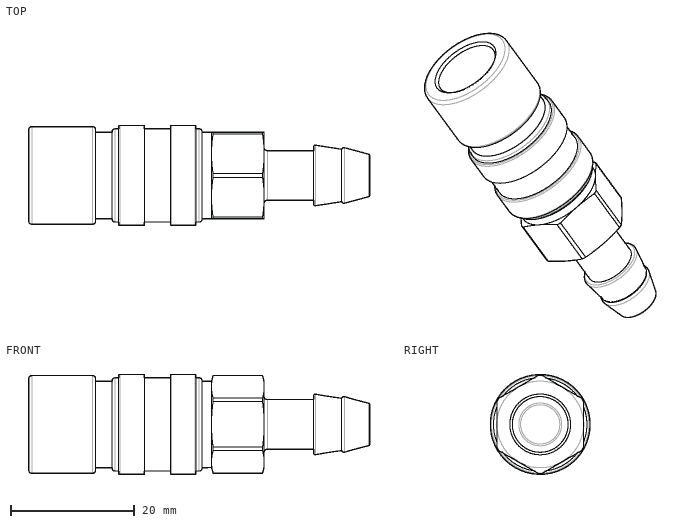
import cadquery as cq


sleeve_diameter = 15.8
sleeve_length = 10.8
neck_diameter = 14.0
collar_diameter = 15.1
ring_diameter = 16.15
ring_length = 4.15
collar_start = 13.45
front_ring_start = 14.5
rear_ring_start = 22.85
collar_end = 28.0
edge_radius = 0.5
ring_fillet = 0.2

hex_start = 29.5
hex_length = 8.5
hex_across_flats = 14.0
hex_corner_diameter = 15.8
hex_chamfer_length = 0.25

stem_diameter = 8.05
stem_fillet = 0.5
barb_start = 46.0
barb_split = 50.5
overall_length = 55.05
first_barb_diameter = 9.9
first_barb_end_diameter = 8.5
second_barb_diameter = 9.25
tip_diameter = 6.8
first_barb_fillet = 0.25
second_barb_fillet = 0.4
tip_fillet = 0.3

bore_diameter = 10.55
mouth_diameter = 11.4
bore_depth = 20.0

hex_end = hex_start + hex_length


def cylinder(diameter, start, end):
    """Round bar along X."""
    return cq.Workplane("YZ", origin=(start, 0, 0)).circle(diameter / 2).extrude(end - start)


def revolve_about_x(outline):
    """Turn an outline of (x, radius) points about the X axis."""
    return cq.Workplane("XY").polyline(outline).close().revolve(360, (0, 0, 0), (1, 0, 0))


def make_sleeve():
    mouth = cylinder(sleeve_diameter, 0, sleeve_length).edges().fillet(edge_radius)
    neck = cylinder(neck_diameter, edge_radius, hex_start)
    collar = cylinder(collar_diameter, collar_start, collar_end).edges().fillet(edge_radius)
    front_ring = cylinder(ring_diameter, front_ring_start, front_ring_start + ring_length)
    front_ring = front_ring.edges("<X").fillet(ring_fillet)
    rear_ring = cylinder(ring_diameter, rear_ring_start, rear_ring_start + ring_length)
    rear_ring = rear_ring.edges().fillet(ring_fillet)
    return neck.union(mouth).union(collar).union(front_ring).union(rear_ring)


def make_hex():
    """Hexagon with two flats facing +Y and -Y, its corners turned round and its ends coned."""
    flats = (
        cq.Workplane("YZ", origin=(hex_start, 0, 0))
        .polygon(6, hex_across_flats, circumscribed=True)
        .extrude(hex_length)
    )
    end_radius = hex_across_flats / 2
    corner_radius = hex_corner_diameter / 2
    envelope = revolve_about_x([
        (hex_start, 0),
        (hex_start, end_radius),
        (hex_start + hex_chamfer_length, corner_radius),
        (hex_end - hex_chamfer_length, corner_radius),
        (hex_end, end_radius),
        (hex_end, 0),
    ])
    return flats.intersect(envelope)


def make_barb(start, end, large_diameter, small_diameter, fillet):
    """Cone that narrows towards the tip, with its large edge rounded."""
    cone = revolve_about_x([
        (start, 0),
        (start, large_diameter / 2),
        (end, small_diameter / 2),
        (end, 0),
    ])
    return cone.edges("<X").fillet(fillet)


def make_tail():
    stem = cylinder(stem_diameter, hex_end, barb_start)
    first_barb = make_barb(
        barb_start, barb_split, first_barb_diameter, first_barb_end_diameter, first_barb_fillet
    )
    second_barb = make_barb(
        barb_split, overall_length, second_barb_diameter, tip_diameter, second_barb_fillet
    )
    second_barb = second_barb.edges(">X").fillet(tip_fillet)
    return stem.union(first_barb).union(second_barb)


def make_socket():
    bore = cylinder(bore_diameter, 0, bore_depth)
    chamfer = (mouth_diameter - bore_diameter) / 2
    mouth_cone = revolve_about_x([
        (0, 0),
        (0, mouth_diameter / 2),
        (chamfer, bore_diameter / 2),
        (chamfer, 0),
    ])
    return bore.union(mouth_cone)


def round_stem_root(body):
    corner = cq.selectors.BoxSelector(
        (hex_end - stem_fillet, -stem_diameter, -stem_diameter),
        (hex_end + stem_fillet, stem_diameter, stem_diameter),
    )
    return body.edges(corner).edges("%CIRCLE").edges(cq.selectors.RadiusNthSelector(0)).fillet(stem_fillet)


body = make_sleeve().union(make_hex()).union(make_tail())
result = round_stem_root(body).cut(make_socket())